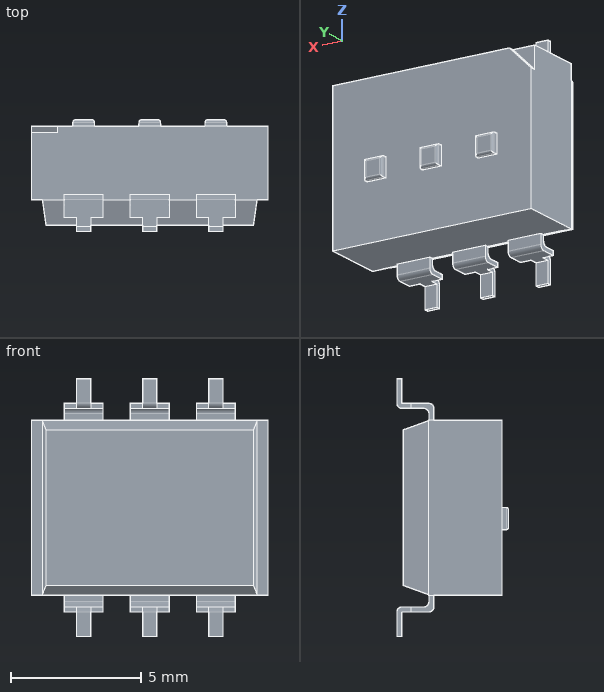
import cadquery as cq
import math


body_width = 9.09
body_height = 6.73
total_depth = 4.30
lead_span = 9.91

standoff = 0.24
base_depth = 0.98
base_width = 8.25
base_height = 6.69
base_side_draft = 8.0
base_end_draft = 20.0
actuator_projection = 0.25
split_y = standoff + base_depth
housing_back_y = total_depth - actuator_projection

marker_leg = 1.0
marker_depth = 0.25

pole_count = 3
pole_pitch = 2.54

lead_thickness = 0.20
lead_front_y = 1.23
lead_wide = 1.50
lead_narrow = 0.55
shelf_outer_z = 4.01
shoulder_y = 0.545
bend_radius = 0.2
lead_root_embed = 0.3

actuator_size = 0.86
actuator_side_draft = 5.0
actuator_z = -0.42
actuator_fillet = 0.1


def make_housing():
    housing = cq.Workplane("XY").box(
        body_width, housing_back_y - split_y, body_height, centered=(True, False, True)
    ).translate((0, split_y, 0))
    corner_x = -body_width / 2
    corner_z = body_height / 2
    marker = (
        cq.Workplane("XZ", origin=(0, housing_back_y, 0))
        .moveTo(corner_x, corner_z)
        .lineTo(corner_x + marker_leg, corner_z)
        .lineTo(corner_x, corner_z - marker_leg)
        .close()
        .extrude(marker_depth)
    )
    return housing.cut(marker)


def make_base():
    front_width = base_width - 2 * base_depth * math.tan(math.radians(base_side_draft))
    front_height = base_height - 2 * base_depth * math.tan(math.radians(base_end_draft))
    return (
        cq.Workplane("XZ", origin=(0, split_y, 0))
        .rect(base_width, base_height)
        .workplane(offset=base_depth)
        .rect(front_width, front_height)
        .loft(ruled=True)
    )


def make_upper_lead():
    """Lead centred on X = 0: up out of the housing, forward to the board, then up again."""
    tip_z = lead_span / 2
    root_z = body_height / 2 - lead_root_embed
    shelf_inner_z = shelf_outer_z - lead_thickness
    root_back_y = lead_front_y + lead_thickness
    strip = (
        cq.Workplane("YZ")
        .moveTo(lead_front_y, root_z)
        .lineTo(lead_front_y, shelf_inner_z - bend_radius)
        .radiusArc((lead_front_y - bend_radius, shelf_inner_z), -bend_radius)
        .lineTo(bend_radius, shelf_inner_z)
        .radiusArc((0, shelf_inner_z + bend_radius), bend_radius)
        .lineTo(0, tip_z)
        .lineTo(lead_thickness, tip_z)
        .lineTo(lead_thickness, shelf_outer_z)
        .lineTo(root_back_y - bend_radius, shelf_outer_z)
        .radiusArc((root_back_y, shelf_outer_z - bend_radius), bend_radius)
        .lineTo(root_back_y, root_z)
        .close()
        .extrude(lead_wide / 2, both=True)
    )
    foot = cq.Workplane("XY").box(
        lead_narrow, shoulder_y, lead_span, centered=(True, False, True)
    )
    shoulder = cq.Workplane("XY").box(
        lead_wide, root_back_y - shoulder_y, lead_span, centered=(True, False, True)
    ).translate((0, shoulder_y, 0))
    return strip.intersect(foot.union(shoulder))


def make_actuator():
    """Block with drafted X sides and a rounded rim, centred on X = 0."""
    half_base = actuator_size / 2
    half_tip = half_base - actuator_projection * math.tan(math.radians(actuator_side_draft))
    return (
        cq.Workplane("XY", origin=(0, 0, actuator_z))
        .moveTo(-half_base, housing_back_y)
        .lineTo(half_base, housing_back_y)
        .lineTo(half_tip, total_depth)
        .lineTo(-half_tip, total_depth)
        .close()
        .extrude(actuator_size / 2, both=True)
        .faces(">Y")
        .edges()
        .fillet(actuator_fillet)
    )


upper_lead = make_upper_lead()
lower_lead = upper_lead.mirror("XY")
actuator = make_actuator()

result = make_housing().union(make_base())
for pole in range(pole_count):
    pole_offset = ((pole - (pole_count - 1) / 2) * pole_pitch, 0, 0)
    for feature in (upper_lead, lower_lead, actuator):
        result = result.union(feature.translate(pole_offset))